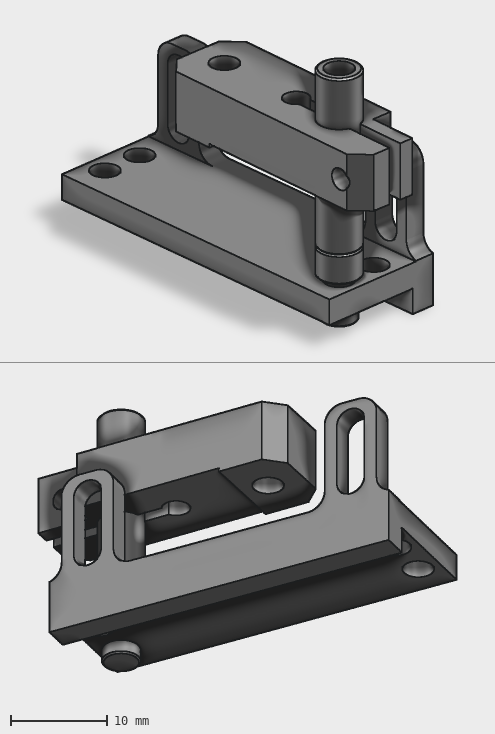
import cadquery as cq
import math


base_length = 40.0
base_depth = 15.0
plate_thickness = 3.0
rail_drop = 3.0
rail_depth = 2.95
plate_top = rail_drop + plate_thickness

ear_thickness = 2.5
ear_top = 18.05
ear_width = 6.12
ear_inset = 1.45
ear_corner_radius = 2.05
foot_radius = 2.0
ear_slot_width = 3.2
ear_slot_height = 10.2
ear_slot_margin = 0.95

plate_hole_diameter = 3.3
hole_side_inset = 2.5
hole_pitch = 5.0
post_y = -11.2
post_x = base_length - hole_side_inset

post_diameter = 5.0
post_top = 30.7
post_shoulder = 6.65
post_chamfer = 0.25
groove_height = 10.15
groove_depth = 0.2
neck_diameter = 3.0
head_diameter = 4.05
head_bottom = 1.47
head_chamfer = 0.2
bore_diameter = 3.3
bore_depth = 10.0
drill_point_angle = 118

arm_length = 29.95
arm_width = 10.0
arm_top = 24.8
arm_height = 7.0
arm_chamfer = 2.0
arm_turn = -1.0
post_from_arm_start = 21.5
relief_start = 7.1
relief_depth = 0.4
jaw_length = 6.0
jaw_step = 2.5
arm_hole_diameter = 3.3
arm_hole_inset = 4.0
slit_width = 1.5
slit_end_diameter = 3.0
slit_end_inset = 14.95
clamp_hole_diameter = 2.5
clamp_hole_inset = 3.0


def make_ear():
    """Slotted ear at the left end, with its flared foot cut off at the end of the plate."""
    ear_height = ear_top - plate_top
    left = ear_inset
    right = left + ear_width
    middle = (left + right) / 2
    ear = (
        cq.Workplane("XZ")
        .center(middle, plate_top + ear_height / 2)
        .rect(ear_width, ear_height)
        .extrude(ear_thickness)
        .edges("|Y and >Z")
        .fillet(ear_corner_radius)
    )
    foot = (
        cq.Workplane("XZ")
        .moveTo(left - foot_radius, plate_top)
        .radiusArc((left, plate_top + foot_radius), -foot_radius)
        .lineTo(right, plate_top + foot_radius)
        .radiusArc((right + foot_radius, plate_top), -foot_radius)
        .close()
        .extrude(ear_thickness)
    )
    beyond_plate = cq.Workplane().box(
        foot_radius, 2 * ear_thickness, ear_top, centered=(False, True, False)
    ).translate((-foot_radius, 0, plate_top))
    slot = (
        cq.Workplane("XZ")
        .center(middle, ear_top - ear_slot_margin - ear_slot_height / 2)
        .slot2D(ear_slot_height, ear_slot_width, 90)
        .extrude(ear_thickness)
    )
    return ear.union(foot).cut(beyond_plate).cut(slot)


def make_base():
    """Plate, rail, four plate holes and a mirrored pair of ears."""
    profile = [
        (0, 0),
        (-rail_depth, 0),
        (-rail_depth, rail_drop),
        (-base_depth, rail_drop),
        (-base_depth, plate_top),
        (0, plate_top),
    ]
    base = cq.Workplane("YZ").polyline(profile).close().extrude(base_length)

    hole_places = [
        (x, y)
        for x in (hole_side_inset, base_length - hole_side_inset)
        for y in (post_y, post_y + hole_pitch)
    ]
    holes = cq.Workplane().pushPoints(hole_places).circle(plate_hole_diameter / 2).extrude(plate_top)

    left_ear = make_ear()
    right_ear = left_ear.mirror("YZ", (base_length / 2, 0, 0))
    return base.cut(holes).union(left_ear).union(right_ear)


def make_post():
    """Turned post: retaining head, neck, grooved shank and a drilled upper end."""
    post_radius = post_diameter / 2
    neck_radius = neck_diameter / 2
    head_radius = head_diameter / 2
    bore_radius = bore_diameter / 2
    bore_bottom = post_top - bore_depth
    point_depth = bore_radius / math.tan(math.radians(drill_point_angle / 2))
    half_section = [
        (0, head_bottom),
        (head_radius - head_chamfer, head_bottom),
        (head_radius, head_bottom + head_chamfer),
        (head_radius, rail_drop),
        (neck_radius, rail_drop),
        (neck_radius, post_shoulder),
        (post_radius - post_chamfer, post_shoulder),
        (post_radius, post_shoulder + post_chamfer),
        (post_radius, groove_height - groove_depth),
        (post_radius - groove_depth, groove_height),
        (post_radius, groove_height + groove_depth),
        (post_radius, post_top - post_chamfer),
        (post_radius - post_chamfer, post_top),
        (bore_radius, post_top),
        (bore_radius, bore_bottom),
        (0, bore_bottom - point_depth),
    ]
    post = cq.Workplane("XZ").polyline(half_section).close().revolve(360, (0, 0), (0, 1))
    return post.translate((post_x, post_y, 0))


def make_arm():
    """Split clamp arm gripping the post, turned slightly about the post axis."""
    start = -post_from_arm_start
    end = start + arm_length
    side = arm_width / 2
    outline = [
        (start + arm_chamfer, -side),
        (end - arm_chamfer, -side),
        (end, -side + arm_chamfer),
        (end, side - jaw_step),
        (end - jaw_length, side - jaw_step),
        (end - jaw_length, side),
        (start + arm_chamfer, side),
        (start, side - arm_chamfer),
        (start, -side + arm_chamfer),
    ]
    arm = cq.Workplane().polyline(outline).close().extrude(arm_height)

    relief = cq.Workplane().box(
        arm_length - relief_start, arm_width, relief_depth, centered=(False, True, False)
    ).translate((start + relief_start, 0, 0))

    slit_start = start + slit_end_inset
    slit = cq.Workplane().box(
        end - slit_start, slit_width, arm_height, centered=(False, True, False)
    ).translate((slit_start, 0, 0))

    def upright_hole(x, diameter):
        return cq.Workplane().center(x, 0).circle(diameter / 2).extrude(arm_height)

    clamp_hole = (
        cq.Workplane("XZ")
        .center(end - clamp_hole_inset, (arm_height + relief_depth) / 2)
        .circle(clamp_hole_diameter / 2)
        .extrude(side, both=True)
    )

    arm = (
        arm.cut(relief)
        .cut(slit)
        .cut(upright_hole(0, post_diameter))
        .cut(upright_hole(slit_start, slit_end_diameter))
        .cut(upright_hole(start + arm_hole_inset, arm_hole_diameter))
        .cut(clamp_hole)
    )
    arm = arm.rotate((0, 0, 0), (0, 0, 1), arm_turn)
    return arm.translate((post_x, post_y, arm_top - arm_height))


base = make_base()
post = make_post()
arm = make_arm()

result = cq.Compound.makeCompound([base.solids().val(), post.val(), arm.solids().val()])